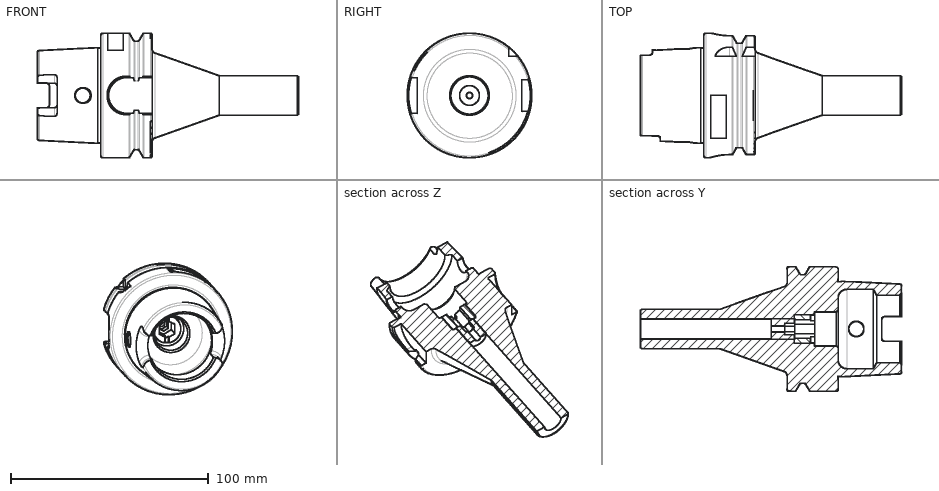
import cadquery as cq
import math


SHANK_LENGTH = 32.0
GAUGE_DISTANCE = 6.3
GAUGE_DIAMETER = 48.0
TAPER_RATIO = 1 / 10
TIP_FILLET = 1.0

RELIEF_DIAMETER = 48.24
RELIEF_START = 1.6
RELIEF_FACE_DEPTH = 0.25
RELIEF_FACE_DIAMETER = 51.0

FLANGE_DIAMETER = 63.0
FLANGE_LENGTH = 26.0
FLANGE_FILLET = 1.0
GROOVE_CENTER = 18.0
GROOVE_WIDTH = 7.0
GROOVE_ROOT_DIAMETER = 55.0
GROOVE_FLANK_ANGLE = 30.0
GROOVE_ROOT_FILLET = 0.8
GROOVE_LIP_FILLET = 0.5

NOSE_DIAMETER = 20.0
NOSE_START = 60.0
NOSE_END = 100.0
NOSE_CHAMFER = 0.6
CONE_ANGLE = 19.5
CONE_FILLET = 2.0

CAVITY_MOUTH_DIAMETER = 36.0
CAVITY_LIP_DIAMETER = 34.0
CAVITY_DIAMETER = 40.0
CAVITY_SHOULDER_X = -19.4
CAVITY_SHOULDER_ANGLE = 60.0
CAVITY_FLOOR_X = 0.0
CAVITY_FLOOR_DIAMETER = 31.4

COOLANT_BORE_DIAMETER = 17.0
COOLANT_BORE_MOUTH_DIAMETER = 19.0
COOLANT_BORE_DEPTH = 12.0
TOOL_BORE_DIAMETER = 10.0

PLUG_DIAMETER = 14.0
PLUG_LENGTH = 10.0
PLUG_HEX = 8.0
PLUG_SLOT_WIDTH = 2.0
PLUG_SLOT_DEPTH = 2.0

SCREW_LENGTH = 12.0
SCREW_HEX = 5.0
SCREW_HEX_DEPTH = 5.0
SCREW_HOLE_DIAMETER = 3.0

DRIVE_SLOT_WIDTH = 12.4
DRIVE_SLOT_ROUND = 4.3
DRIVE_SLOT_ROUND_Y = 16.1
DRIVE_SLOT_FILLET = 1.5
DRIVE_SLOT_DEPTH_FRONT = 10.0
DRIVE_SLOT_DEPTH_BACK = 6.0

CROSS_HOLE_X = -9.1
CROSS_HOLE_DIAMETER = 7.5
CROSS_HOLE_MOUTH_DIAMETER = 8.5

KEYWAY_FLOOR = 26.5
KEYWAY_CENTER_X = 13.0
KEYWAY_WIDTH_FRONT = 18.0
KEYWAY_WIDTH_BACK = 16.0
KEYWAY_CHAMFER = 0.8

NOTCH_CORNER = 19.9
NOTCH_RUNOUT_RADIUS = 8.0
NOTCH_RUNOUT_X = 13.0

CHIP_START_X = 3.5
CHIP_END_X = 11.5
CHIP_FLAT_DISTANCE = 29.25

PLUG_X = CAVITY_FLOOR_X + COOLANT_BORE_DEPTH
SCREW_X = PLUG_X + PLUG_LENGTH

CLEARANCE = 5.0

TURNING_PLANE = cq.Plane(origin=(0, 0, 0), xDir=(1, 0, 0), normal=(0, 1, 0))


def taper_radius(x):
    """Radius of the 1:10 taper at position x."""
    return (GAUGE_DIAMETER + (x + GAUGE_DISTANCE) * TAPER_RATIO) / 2


def tan_deg(angle):
    return math.tan(math.radians(angle))


def make_holder_blank():
    """Solid of revolution: taper, relief, flange, cone and nose."""
    flange_r = FLANGE_DIAMETER / 2
    relief_r = RELIEF_DIAMETER / 2
    relief_depth = taper_radius(-RELIEF_START) - relief_r
    nose_r = NOSE_DIAMETER / 2
    cone_base_r = nose_r + (NOSE_START - FLANGE_LENGTH) * tan_deg(CONE_ANGLE)
    tip_r = taper_radius(-SHANK_LENGTH)
    blank = (
        cq.Workplane(TURNING_PLANE)
        .moveTo(-SHANK_LENGTH, 0)
        .lineTo(-SHANK_LENGTH, tip_r)
        .lineTo(-RELIEF_START, taper_radius(-RELIEF_START))
        .lineTo(-RELIEF_START + relief_depth, relief_r)
        .lineTo(RELIEF_FACE_DEPTH, relief_r)
        .lineTo(0, RELIEF_FACE_DIAMETER / 2)
        .lineTo(0, flange_r)
        .lineTo(FLANGE_LENGTH, flange_r)
        .lineTo(FLANGE_LENGTH, cone_base_r)
        .lineTo(NOSE_START, nose_r)
        .lineTo(NOSE_END - NOSE_CHAMFER, nose_r)
        .lineTo(NOSE_END, nose_r - NOSE_CHAMFER)
        .lineTo(NOSE_END, 0)
        .close()
        .revolve(360, (0, 0, 0), (1, 0, 0))
    )
    blank = blank.edges(cq.selectors.RadiusNthSelector(-1)).fillet(FLANGE_FILLET)
    blank = blank.faces("<X").edges().fillet(TIP_FILLET)
    flange_back = blank.faces(cq.selectors.NearestToPointSelector((FLANGE_LENGTH, 0, 0)))
    return flange_back.edges(cq.selectors.RadiusNthSelector(0)).fillet(CONE_FILLET)


def cut_gripper_groove(body):
    """V-shaped gripper groove with rounded root and lips."""
    flange_r = FLANGE_DIAMETER / 2
    root_r = GROOVE_ROOT_DIAMETER / 2
    half_top = GROOVE_WIDTH / 2
    half_root = half_top - (flange_r - root_r) * tan_deg(GROOVE_FLANK_ANGLE)
    half_above = half_top + CLEARANCE * tan_deg(GROOVE_FLANK_ANGLE)
    groove = (
        cq.Workplane(TURNING_PLANE)
        .moveTo(GROOVE_CENTER - half_root, root_r)
        .lineTo(GROOVE_CENTER + half_root, root_r)
        .lineTo(GROOVE_CENTER + half_above, flange_r + CLEARANCE)
        .lineTo(GROOVE_CENTER - half_above, flange_r + CLEARANCE)
        .close()
        .revolve(360, (0, 0, 0), (1, 0, 0))
        .edges(cq.selectors.RadiusNthSelector(0))
        .fillet(GROOVE_ROOT_FILLET)
    )
    body = body.cut(groove)
    lip_reach = half_top + GROOVE_LIP_FILLET
    lip_box = cq.selectors.BoxSelector(
        (GROOVE_CENTER - lip_reach, -flange_r - CLEARANCE, -flange_r - CLEARANCE),
        (GROOVE_CENTER + lip_reach, flange_r + CLEARANCE, flange_r + CLEARANCE),
        boundingbox=True,
    )
    return body.edges(lip_box).edges(cq.selectors.RadiusNthSelector(-1)).fillet(GROOVE_LIP_FILLET)


def make_cavity():
    """Clamping cavity of the shank with an undercut behind the lip."""
    lip_r = CAVITY_LIP_DIAMETER / 2
    mouth_r = CAVITY_MOUTH_DIAMETER / 2
    cavity_r = CAVITY_DIAMETER / 2
    floor_r = CAVITY_FLOOR_DIAMETER / 2
    floor_round = cavity_r - floor_r
    shoulder_end = CAVITY_SHOULDER_X + (cavity_r - lip_r) / tan_deg(CAVITY_SHOULDER_ANGLE)
    mouth_depth = mouth_r - lip_r
    return (
        cq.Workplane(TURNING_PLANE)
        .moveTo(-SHANK_LENGTH, 0)
        .lineTo(-SHANK_LENGTH, mouth_r)
        .lineTo(-SHANK_LENGTH + mouth_depth, lip_r)
        .lineTo(CAVITY_SHOULDER_X, lip_r)
        .lineTo(shoulder_end, cavity_r)
        .lineTo(CAVITY_FLOOR_X - floor_round, cavity_r)
        .radiusArc((CAVITY_FLOOR_X, floor_r), floor_round)
        .lineTo(CAVITY_FLOOR_X, 0)
        .close()
        .revolve(360, (0, 0, 0), (1, 0, 0))
    )


def make_axial_bores():
    """Coolant bore, plug seat and tool bore, open to the nose end."""
    mouth_r = COOLANT_BORE_MOUTH_DIAMETER / 2
    coolant_r = COOLANT_BORE_DIAMETER / 2
    plug_r = PLUG_DIAMETER / 2
    tool_r = TOOL_BORE_DIAMETER / 2
    return (
        cq.Workplane(TURNING_PLANE)
        .moveTo(CAVITY_FLOOR_X, 0)
        .lineTo(CAVITY_FLOOR_X, mouth_r)
        .lineTo(CAVITY_FLOOR_X + mouth_r - coolant_r, coolant_r)
        .lineTo(PLUG_X, coolant_r)
        .lineTo(PLUG_X, plug_r)
        .lineTo(SCREW_X, plug_r)
        .lineTo(SCREW_X, tool_r)
        .lineTo(NOSE_END, tool_r)
        .lineTo(NOSE_END, 0)
        .close()
        .revolve(360, (0, 0, 0), (1, 0, 0))
    )


def make_drive_slot(side, depth):
    """Cutter for a drive slot on the given Y side, flaring outward around rounded flanks."""
    half = DRIVE_SLOT_WIDTH / 2
    outer_y = GAUGE_DIAMETER / 2 + CLEARANCE
    round_z = half + DRIVE_SLOT_ROUND
    diagonal = DRIVE_SLOT_ROUND * math.sqrt(0.5)
    mid_y = DRIVE_SLOT_ROUND_Y + diagonal
    mid_z = round_z - diagonal
    flare_y = DRIVE_SLOT_ROUND_Y + DRIVE_SLOT_ROUND
    inner_y = CAVITY_LIP_DIAMETER / 2 - CLEARANCE
    return (
        cq.Workplane("YZ", origin=(-SHANK_LENGTH, 0, 0))
        .moveTo(side * inner_y, -half)
        .lineTo(side * DRIVE_SLOT_ROUND_Y, -half)
        .threePointArc((side * mid_y, -mid_z), (side * flare_y, -round_z))
        .lineTo(side * outer_y, -round_z)
        .lineTo(side * outer_y, round_z)
        .lineTo(side * flare_y, round_z)
        .threePointArc((side * mid_y, mid_z), (side * DRIVE_SLOT_ROUND_Y, half))
        .lineTo(side * inner_y, half)
        .close()
        .extrude(depth)
        .faces(">X")
        .edges("not |Z")
        .fillet(DRIVE_SLOT_FILLET)
    )


def make_cross_hole():
    """Access hole through both taper walls with countersunk mouths."""
    hole_r = CROSS_HOLE_DIAMETER / 2
    mouth_r = CROSS_HOLE_MOUTH_DIAMETER / 2
    surface_y = taper_radius(CROSS_HOLE_X)
    sink_y = surface_y - (mouth_r - hole_r)
    outer_y = surface_y + CLEARANCE
    return (
        cq.Workplane("XY")
        .moveTo(CROSS_HOLE_X, -outer_y)
        .lineTo(CROSS_HOLE_X + mouth_r, -outer_y)
        .lineTo(CROSS_HOLE_X + mouth_r, -surface_y)
        .lineTo(CROSS_HOLE_X + hole_r, -sink_y)
        .lineTo(CROSS_HOLE_X + hole_r, sink_y)
        .lineTo(CROSS_HOLE_X + mouth_r, surface_y)
        .lineTo(CROSS_HOLE_X + mouth_r, outer_y)
        .lineTo(CROSS_HOLE_X, outer_y)
        .close()
        .revolve(360, (CROSS_HOLE_X, 0, 0), (CROSS_HOLE_X, 1, 0))
    )


def make_keyway(side, width):
    """Material that a round-ended keyway with chamfered rim takes out of a plain flange disc."""
    end_x = FLANGE_LENGTH
    half = width / 2
    flange_r = FLANGE_DIAMETER / 2
    disc = (
        cq.Workplane(TURNING_PLANE)
        .rect(FLANGE_LENGTH, flange_r, centered=False)
        .revolve(360, (0, 0, 0), (1, 0, 0))
    )
    pocket = (
        cq.Workplane("XZ", origin=(0, side * KEYWAY_FLOOR, 0))
        .moveTo(end_x, -half)
        .lineTo(KEYWAY_CENTER_X, -half)
        .threePointArc((KEYWAY_CENTER_X - half, 0), (KEYWAY_CENTER_X, half))
        .lineTo(end_x, half)
        .close()
        .extrude(-side * (flange_r - KEYWAY_FLOOR + CLEARANCE))
    )
    rim_edges = cq.selectors.BoxSelector(
        (0, side * (KEYWAY_FLOOR + KEYWAY_CHAMFER), -half - KEYWAY_CHAMFER),
        (FLANGE_LENGTH + CLEARANCE, side * (flange_r + CLEARANCE), half + KEYWAY_CHAMFER),
        boundingbox=True,
    )
    keyed_disc = disc.cut(pocket).edges(rim_edges).chamfer(KEYWAY_CHAMFER)
    return disc.cut(keyed_disc)


def make_orientation_notch():
    """Cutter for the square-cornered notch with a cylindrical run-out."""
    end_x = FLANGE_LENGTH
    reach = FLANGE_DIAMETER / 2
    start_x = NOTCH_RUNOUT_X - NOTCH_RUNOUT_RADIUS
    diagonal = NOTCH_RUNOUT_RADIUS * math.sqrt(0.5)
    center_z = NOTCH_CORNER + NOTCH_RUNOUT_RADIUS
    return (
        cq.Workplane("XZ", origin=(0, NOTCH_CORNER, 0))
        .moveTo(end_x, NOTCH_CORNER)
        .lineTo(NOTCH_RUNOUT_X, NOTCH_CORNER)
        .threePointArc((NOTCH_RUNOUT_X - diagonal, center_z - diagonal), (start_x, center_z))
        .lineTo(start_x, reach)
        .lineTo(end_x, reach)
        .close()
        .extrude(NOTCH_CORNER - reach)
    )


def make_chip_flat():
    """Cutter for the flat pocket, one edge of which lies on the top line of the flange."""
    flange_r = FLANGE_DIAMETER / 2
    tilt = math.degrees(math.acos(CHIP_FLAT_DISTANCE / flange_r))
    return (
        cq.Workplane("XY", origin=(0, 0, CHIP_FLAT_DISTANCE))
        .center((CHIP_START_X + CHIP_END_X) / 2, 0)
        .rect(CHIP_END_X - CHIP_START_X, FLANGE_DIAMETER)
        .extrude(CLEARANCE)
        .rotate((0, 0, 0), (1, 0, 0), tilt)
    )


def make_hexagon(start_x, across_flats, length):
    """Hexagonal prism along X with corners pointing to +Z and -Z."""
    return (
        cq.Workplane("YZ", origin=(start_x, 0, 0))
        .polygon(6, across_flats / math.cos(math.pi / 6))
        .extrude(length)
        .rotate((0, 0, 0), (1, 0, 0), 90)
    )


def make_plug():
    """Plug with a through hexagon and a screwdriver slot along Z."""
    body = cq.Workplane("YZ", origin=(PLUG_X, 0, 0)).circle(PLUG_DIAMETER / 2).extrude(PLUG_LENGTH)
    slot = (
        cq.Workplane("YZ", origin=(PLUG_X, 0, 0))
        .rect(PLUG_SLOT_WIDTH, PLUG_DIAMETER)
        .extrude(PLUG_SLOT_DEPTH)
    )
    return body.cut(make_hexagon(PLUG_X, PLUG_HEX, PLUG_LENGTH)).cut(slot)


def make_set_screw():
    """Set screw with a hexagon socket and a coolant hole."""
    body = (
        cq.Workplane("YZ", origin=(SCREW_X, 0, 0))
        .circle(TOOL_BORE_DIAMETER / 2)
        .circle(SCREW_HOLE_DIAMETER / 2)
        .extrude(SCREW_LENGTH)
    )
    return body.cut(make_hexagon(SCREW_X, SCREW_HEX, SCREW_HEX_DEPTH))


def make_holder():
    """Holder body with all of its cavities, slots and flats."""
    body = cut_gripper_groove(make_holder_blank())
    body = body.cut(make_cavity()).cut(make_axial_bores())
    body = body.cut(make_drive_slot(-1, DRIVE_SLOT_DEPTH_FRONT))
    body = body.cut(make_drive_slot(1, DRIVE_SLOT_DEPTH_BACK))
    body = body.cut(make_cross_hole())
    body = body.cut(make_orientation_notch()).cut(make_chip_flat())
    body = body.cut(make_keyway(-1, KEYWAY_WIDTH_FRONT))
    return body.cut(make_keyway(1, KEYWAY_WIDTH_BACK))


holder = make_holder()
plug = make_plug()
set_screw = make_set_screw()

result = cq.Compound.makeCompound([holder.val(), plug.val(), set_screw.val()])